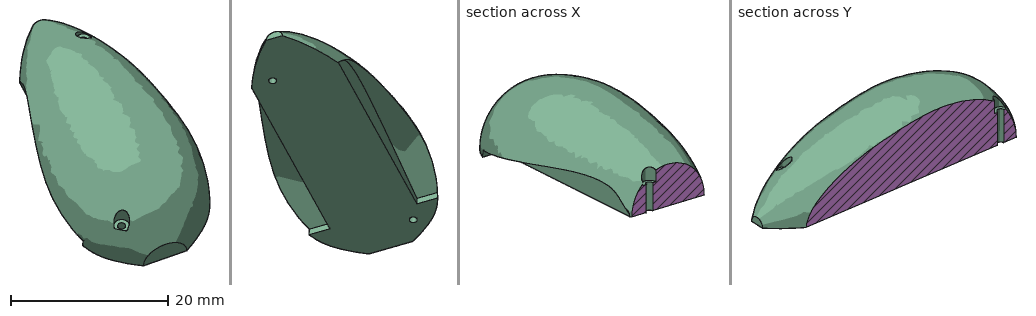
import cadquery as cq

length = 40
nose_radius = 1.1
max_radius = 10.3
max_radius_x = 26.9
tail_radius = 3.0
nose_side_points = [(2.9, 3.5), (7.25, 6), (13.0, 8.25), (19.2, 9.65)]
tail_side_points = [(31.8, 9.55), (36.15, 7.65), (38.4, 5.35)]

relief_wall_y = 5.95
relief_start_x = 7.25
relief_start_height = 0.3
relief_end_x = 34
relief_end_height = 1.0
relief_arch_points = [(8.1, 1.3), (9.8, 2.9), (11.6, 3.55), (14.8, 3.9), (19.45, 3.5), (27.0, 2.3)]

screw_diameter = 1.0
counterbore_diameter = 2
screw_holes = [(6.95, 3.0, 3.9), (36.45, -4.5, 4.95)]


def make_body():
    skin = [
        (0, nose_radius),
        *nose_side_points,
        (max_radius_x, max_radius),
        *tail_side_points,
        (length, tail_radius),
    ]
    profile = (
        cq.Workplane("XY")
        .lineTo(*skin[0])
        .spline(skin[1:], includeCurrent=True)
        .lineTo(length, 0)
        .close()
    )
    return profile.revolve(180, (length, 0, 0), (0, 0, 0)).rotate((0, 0, 0), (1, 0, 0), 180)


def make_relief(side):
    """Relief on the flank toward side * Y, from its flat inner wall outward."""
    arch = [*relief_arch_points, (relief_end_x, relief_end_height)]
    return (
        cq.Workplane("XZ", origin=(0, side * relief_wall_y, 0))
        .moveTo(relief_start_x, 0)
        .lineTo(relief_start_x, relief_start_height)
        .spline(arch, includeCurrent=True)
        .lineTo(relief_end_x, 0)
        .close()
        .extrude(-side * max_radius)
    )


def make_screw_cutter(x, y, floor_height):
    shank = cq.Workplane("XY").center(x, y).circle(screw_diameter / 2).extrude(max_radius)
    head = (
        cq.Workplane("XY", origin=(x, y, floor_height))
        .circle(counterbore_diameter / 2)
        .extrude(max_radius)
    )
    return shank.union(head)


result = make_body()
for side in (-1, 1):
    result = result.cut(make_relief(side))
for x, y, floor_height in screw_holes:
    result = result.cut(make_screw_cutter(x, y, floor_height))